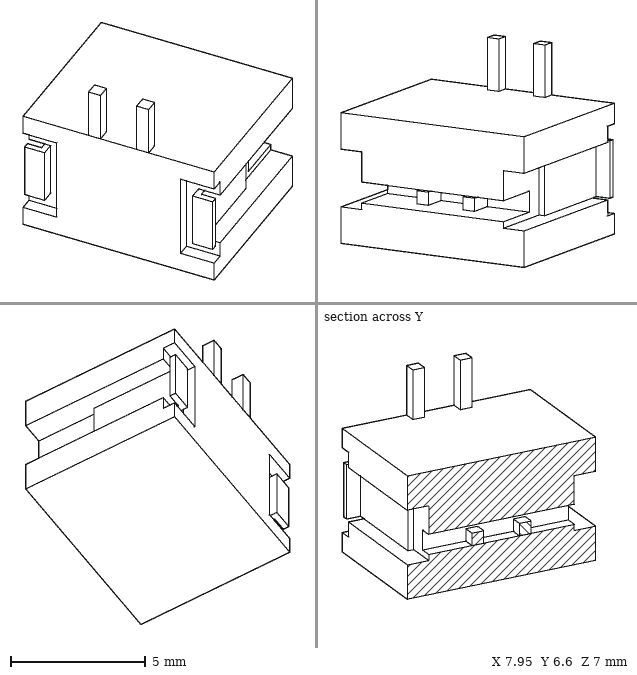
import cadquery as cq

HOUSING_WIDTH = 7.95
HOUSING_DEPTH = 6.6
HOUSING_HEIGHT = 5.0

CHANNEL_DEPTH = 0.9
CHANNEL_MARGIN = 1.4
CHANNEL_HEIGHT = HOUSING_HEIGHT - 2 * CHANNEL_MARGIN

RELIEF_WIDTH = 1.4
RELIEF_MARGIN = 0.79

PIN_SIZE = 0.5
PIN_PITCH = 2.0
LEG_LENGTH = 2.0
CONTACT_LENGTH = 0.93
RELIEF_DEPTH = PIN_SIZE

SLOT_DEPTH = 1.89
SLOT_FLOOR = 1.645
SLOT_HEIGHT = 0.8
SLOT_FRONT = HOUSING_DEPTH - SLOT_DEPTH

TAB_THICKNESS = 0.25
TAB_LENGTH = 4.0
TAB_INSET = 0.06
FOOT_WIDTH = CHANNEL_DEPTH - TAB_INSET


def box_at(x, y, z, width, depth, height):
    """Box with its lowest X, Y and Z corner at the given point."""
    return cq.Workplane("XY").box(width, depth, height, centered=False).translate((x, y, z))


def mirrored(shape):
    """Copy on the opposite side of the housing."""
    return shape.mirror("YZ")


def make_housing():
    left = -HOUSING_WIDTH / 2
    body = box_at(left, 0, 0, HOUSING_WIDTH, HOUSING_DEPTH, HOUSING_HEIGHT)
    channel = box_at(left, 0, CHANNEL_MARGIN, CHANNEL_DEPTH, HOUSING_DEPTH, CHANNEL_HEIGHT)
    relief_height = HOUSING_HEIGHT - 2 * RELIEF_MARGIN
    relief = box_at(left, 0, RELIEF_MARGIN, RELIEF_WIDTH, RELIEF_DEPTH, relief_height)
    for side_cut in (channel, relief):
        body = body.cut(side_cut).cut(mirrored(side_cut))
    slot = box_at(left, SLOT_FRONT, SLOT_FLOOR, HOUSING_WIDTH, SLOT_DEPTH, SLOT_HEIGHT)
    return body.cut(slot)


def make_left_tab():
    """Arm lying on the channel wall, with a foot turned outward at the front."""
    wall_x = -HOUSING_WIDTH / 2 + CHANNEL_DEPTH
    outline = (
        cq.Workplane("XY", origin=(wall_x, 0, CHANNEL_MARGIN))
        .lineTo(0, TAB_LENGTH)
        .lineTo(-TAB_THICKNESS, TAB_LENGTH)
        .lineTo(-TAB_THICKNESS, TAB_THICKNESS)
        .lineTo(-FOOT_WIDTH, TAB_THICKNESS)
        .lineTo(-FOOT_WIDTH, 0)
        .close()
    )
    return outline.extrude(CHANNEL_HEIGHT)


def make_leg(center_x):
    """Upright leg standing on the housing, flush with its front face."""
    return box_at(center_x - PIN_SIZE / 2, 0, HOUSING_HEIGHT, PIN_SIZE, PIN_SIZE, LEG_LENGTH)


def make_contact(center_x):
    """Contact on the slot floor, reaching back from the slot's front wall."""
    left = center_x - PIN_SIZE / 2
    return box_at(left, SLOT_FRONT, SLOT_FLOOR, PIN_SIZE, CONTACT_LENGTH, PIN_SIZE)


housing = make_housing()
left_tab = make_left_tab()
tabs = [left_tab, mirrored(left_tab)]

legs = []
contacts = []
for pin_x in (-PIN_PITCH / 2, PIN_PITCH / 2):
    legs.append(make_leg(pin_x))
    contacts.append(make_contact(pin_x))

result = cq.Compound.makeCompound([body.solids().val() for body in [housing, *tabs, *legs, *contacts]])